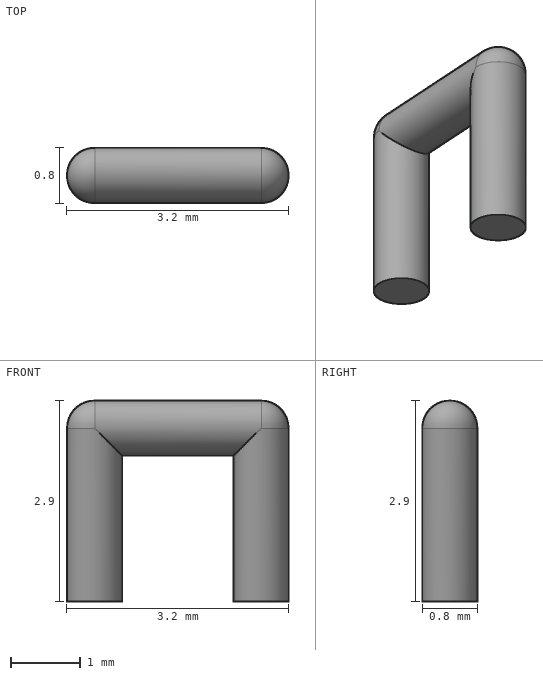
import cadquery as cq

wire_diameter = 0.8
overall_width = 3.2
overall_height = 2.9

wire_radius = wire_diameter / 2
leg_spacing = overall_width - wire_diameter
leg_length = overall_height - wire_radius


def leg(x):
    """Vertical round leg, from its flat foot at Z = 0 up to the bridge axis."""
    return cq.Workplane("XY").center(x, 0).circle(wire_radius).extrude(leg_length)


def corner_ball(x):
    """Sphere that rounds the outer corner where a leg meets the bridge."""
    return cq.Workplane("XY").sphere(wire_radius).translate((x, 0, leg_length))


def bridge():
    """Horizontal round bar joining the tops of the two legs."""
    return (
        cq.Workplane("YZ", origin=(-leg_spacing / 2, 0, leg_length))
        .circle(wire_radius)
        .extrude(leg_spacing)
    )


result = bridge()
for leg_x in (-leg_spacing / 2, leg_spacing / 2):
    result = result.union(leg(leg_x)).union(corner_ball(leg_x))